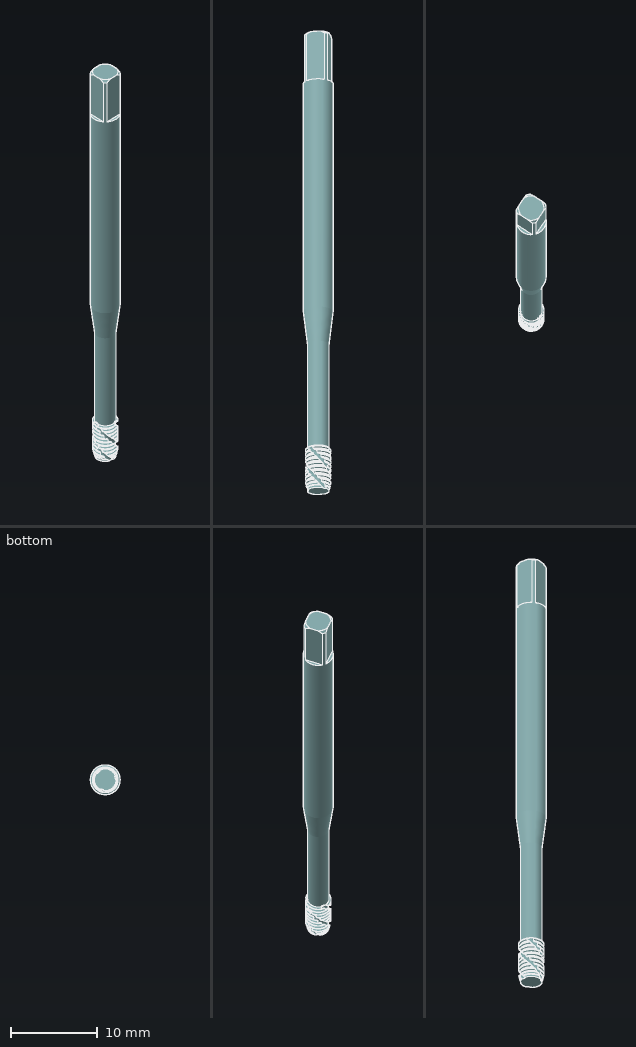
import cadquery as cq
import math

TOTAL_LENGTH = 56.0
SQUARE_LENGTH = 6.0
NECK_TOP = 18.0
TAPER_TOP = 22.0
THREAD_LENGTH = 5.2

SHANK_DIAMETER = 3.5
NECK_DIAMETER = 2.5
SQUARE_WIDTH = 2.75
TOP_CHAMFER = 0.3

THREAD_DIAMETER = 2.95
ROOT_DIAMETER = NECK_DIAMETER
PITCH = 0.5
CREST_WIDTH = PITCH / 8
ROOT_WIDTH = PITCH / 4
FLANK_LENGTH = (PITCH - CREST_WIDTH - ROOT_WIDTH) / 2
TOOTH_COUNT = 10
LEAD_IN_LENGTH = 1.0
TIP_DIAMETER = ROOT_DIAMETER

FLUTE_COUNT = 3
FLUTE_LEAD = 8.9
FLUTE_RADIUS = 0.45
FLUTE_DEPTH = 0.35
FLUTE_START_ANGLE = -10.0


def make_shank():
    """Cylindrical shank with a tapered neck below and a driving square on top."""
    shank_radius = SHANK_DIAMETER / 2
    neck_radius = NECK_DIAMETER / 2
    outline = [
        (0, THREAD_LENGTH),
        (neck_radius, THREAD_LENGTH),
        (neck_radius, NECK_TOP),
        (shank_radius, TAPER_TOP),
        (shank_radius, TOTAL_LENGTH - TOP_CHAMFER),
        (shank_radius - TOP_CHAMFER, TOTAL_LENGTH),
        (0, TOTAL_LENGTH),
    ]
    turned = cq.Workplane("XZ").polyline(outline).close().revolve(360, (0, 0), (0, 1))
    return turned.cut(make_square_waste())


def make_square_waste():
    """Ring of material removed around the driving square."""
    return (
        cq.Workplane("XY", origin=(0, 0, TOTAL_LENGTH - SQUARE_LENGTH))
        .circle(SHANK_DIAMETER)
        .rect(SQUARE_WIDTH, SQUARE_WIDTH)
        .extrude(SQUARE_LENGTH)
    )


def make_thread_blank():
    """Revolved toothed outline: rings running down from the neck to the tip."""
    root_radius = ROOT_DIAMETER / 2
    crest_radius = THREAD_DIAMETER / 2
    outline = [(0, THREAD_LENGTH)]
    for tooth in range(TOOTH_COUNT):
        tooth_top = THREAD_LENGTH - tooth * PITCH
        crest_top = tooth_top - FLANK_LENGTH
        crest_bottom = crest_top - CREST_WIDTH
        outline.append((root_radius, tooth_top))
        outline.append((crest_radius, crest_top))
        outline.append((crest_radius, crest_bottom))
        outline.append((root_radius, crest_bottom - FLANK_LENGTH))
    outline += [(TIP_DIAMETER / 2, 0), (0, 0)]
    return cq.Workplane("XZ").polyline(outline).close().revolve(360, (0, 0), (0, 1))


def make_lead_in_envelope():
    """Cylinder with a conical lower end that trims the lowest rings."""
    thread_radius = THREAD_DIAMETER / 2
    outline = [
        (0, 0),
        (TIP_DIAMETER / 2, 0),
        (thread_radius, LEAD_IN_LENGTH),
        (thread_radius, THREAD_LENGTH),
        (0, THREAD_LENGTH),
    ]
    return cq.Workplane("XZ").polyline(outline).close().revolve(360, (0, 0), (0, 1))


def make_flute(start_angle):
    """Round bar twisted around the axis along the whole threaded length."""
    centre_distance = THREAD_DIAMETER / 2 - FLUTE_DEPTH + FLUTE_RADIUS
    angle = math.radians(start_angle)
    centre = (centre_distance * math.cos(angle), centre_distance * math.sin(angle))
    twist = -360 * THREAD_LENGTH / FLUTE_LEAD
    return (
        cq.Workplane("XY")
        .moveTo(*centre)
        .circle(FLUTE_RADIUS)
        .twistExtrude(THREAD_LENGTH, twist)
    )


def make_cutting_part():
    """Ring thread with a conical lead-in and left-hand spiral flutes."""
    thread = make_thread_blank().intersect(make_lead_in_envelope())
    for index in range(FLUTE_COUNT):
        thread = thread.cut(make_flute(FLUTE_START_ANGLE + index * 360 / FLUTE_COUNT))
    return thread


shank = make_shank()
cutting_part = make_cutting_part()

result = cq.Compound.makeCompound([shank.val(), cutting_part.val()])